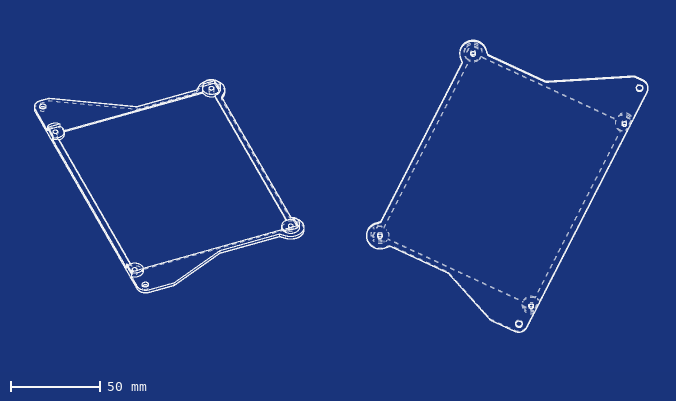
import cadquery as cq
import math

WIDTH = 163.6
DEPTH = 104.8
PLATE_THICKNESS = 2.1

SCREW_DIAMETER = 2.7
SCREW_LEFT_X = -54.45
SCREW_RIGHT_X = 64.55
EAR_RADIUS = 7.5
SCREW_FRONT_Y = 3.3
SCREW_BACK_Y = DEPTH - EAR_RADIUS

SEAT_RADIUS = 5.0
LEDGE_TOP = 3.2
LIP_TOP = 5.1
BOARD_MARGIN = 3.1

SIDE_MARGIN = 2.8
BACK_MARGIN = 3.1

RECESS_DEPTH = 0.9

WING_ROOT_Y = 53.5
WING_LEFT_Y = 10.4
WING_RIGHT_Y = 20.2
WING_CORNER_RADIUS = 5.1
MOUNT_DIAMETER = 3.7
MOUNT_MARGIN = 4.8

SCREW_POINTS = [(x, y) for x in (SCREW_LEFT_X, SCREW_RIGHT_X) for y in (SCREW_FRONT_Y, SCREW_BACK_Y)]
MOUNT_X = WIDTH / 2 - MOUNT_MARGIN
MOUNT_POINTS = [(x, MOUNT_MARGIN) for x in (-MOUNT_X, MOUNT_X)]
SCREW_SPAN_X = SCREW_RIGHT_X - SCREW_LEFT_X
SCREW_SPAN_Y = SCREW_BACK_Y - SCREW_FRONT_Y
SCREW_MID_X = (SCREW_LEFT_X + SCREW_RIGHT_X) / 2
SCREW_MID_Y = (SCREW_FRONT_Y + SCREW_BACK_Y) / 2


def make_plate():
    """Plate with two wings at the front and two round ears at the back."""
    half_width = WIDTH / 2
    left_edge = SCREW_LEFT_X - SIDE_MARGIN
    right_edge = SCREW_RIGHT_X + SIDE_MARGIN
    back_edge = SCREW_BACK_Y + BACK_MARGIN
    tangent = EAR_RADIUS * math.sqrt(0.5)
    side_run = 2 * tangent - SIDE_MARGIN
    back_run = 2 * tangent - BACK_MARGIN
    return (
        cq.Workplane("XY")
        .moveTo(-half_width, 0)
        .lineTo(half_width, 0)
        .lineTo(half_width, WING_RIGHT_Y)
        .lineTo(right_edge, WING_ROOT_Y)
        .lineTo(right_edge, SCREW_BACK_Y - side_run)
        .lineTo(SCREW_RIGHT_X + tangent, SCREW_BACK_Y - tangent)
        .threePointArc(
            (SCREW_RIGHT_X + tangent, SCREW_BACK_Y + tangent),
            (SCREW_RIGHT_X - tangent, SCREW_BACK_Y + tangent),
        )
        .lineTo(SCREW_RIGHT_X - back_run, back_edge)
        .lineTo(SCREW_LEFT_X + back_run, back_edge)
        .lineTo(SCREW_LEFT_X + tangent, SCREW_BACK_Y + tangent)
        .threePointArc(
            (SCREW_LEFT_X - tangent, SCREW_BACK_Y + tangent),
            (SCREW_LEFT_X - tangent, SCREW_BACK_Y - tangent),
        )
        .lineTo(left_edge, SCREW_BACK_Y - side_run)
        .lineTo(left_edge, WING_ROOT_Y)
        .lineTo(-half_width, WING_LEFT_Y)
        .close()
        .extrude(PLATE_THICKNESS)
        .edges("|Z and <Y")
        .fillet(WING_CORNER_RADIUS)
    )


def make_recess():
    """Rectangular recess in the top face of the plate."""
    return (
        cq.Workplane("XY", origin=(SCREW_MID_X, SCREW_MID_Y, PLATE_THICKNESS - RECESS_DEPTH))
        .rect(SCREW_SPAN_X, SCREW_SPAN_Y)
        .extrude(RECESS_DEPTH)
    )


def make_seats():
    """Round board seats, the front pair cut flush with the front edge of the plate."""
    seats = (
        cq.Workplane("XY")
        .pushPoints(SCREW_POINTS)
        .circle(SEAT_RADIUS)
        .extrude(LIP_TOP)
    )
    front_clip = cq.Workplane("XY").box(WIDTH, DEPTH, LIP_TOP, centered=(True, False, False))
    return seats.intersect(front_clip)


def make_board():
    """Space taken by the board, which rests on the ledges."""
    return (
        cq.Workplane("XY", origin=(SCREW_MID_X, SCREW_MID_Y, LEDGE_TOP))
        .rect(SCREW_SPAN_X + 2 * BOARD_MARGIN, SCREW_SPAN_Y + 2 * BOARD_MARGIN)
        .extrude(LIP_TOP - LEDGE_TOP)
    )


def make_holes(points, diameter):
    """Vertical holes through the full height."""
    return cq.Workplane("XY").pushPoints(points).circle(diameter / 2).extrude(LIP_TOP)


result = (
    make_plate()
    .cut(make_recess())
    .union(make_seats())
    .cut(make_board())
    .cut(make_holes(SCREW_POINTS, SCREW_DIAMETER))
    .cut(make_holes(MOUNT_POINTS, MOUNT_DIAMETER))
)